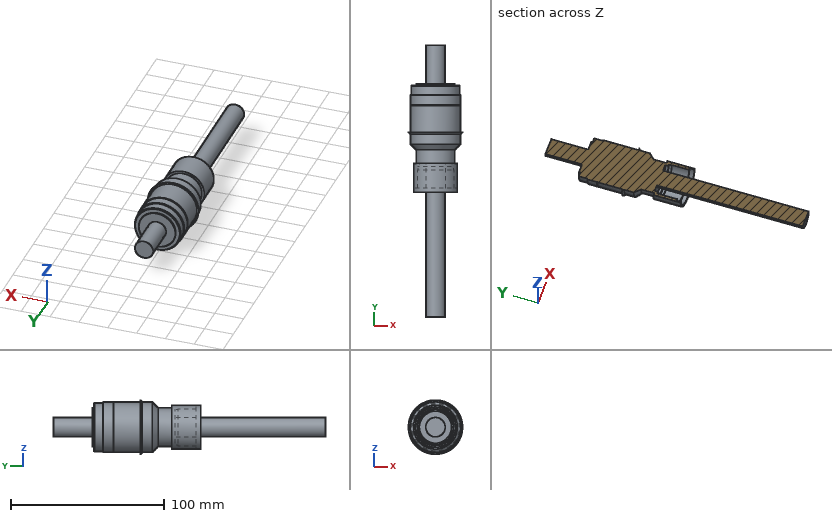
import cadquery as cq

ROD_LENGTH = 177.8
ROD_RADIUS = 12.7 / 2

COLLAR_START = 25.4
COLLAR_RADIUS = 12.7
CAP_START = 26.3
CAP_RADIUS = 15.95
CAP_CHAMFER = 0.55
BAND_START = 32.3
BAND_CHAMFER = 0.4

BODY_RADIUS = 16.5
GROOVE_START = 39.0
GROOVE_WIDTH = 0.5
GROOVE_DEPTH = 0.25
FLANGE_START = 56.8
FLANGE_RADIUS = 35.5 / 2
FLANGE_RIM = 0.1

SHOULDER_START = 64.7
NECK_RADIUS = COLLAR_RADIUS
SHOULDER_END = SHOULDER_START + (BODY_RADIUS - NECK_RADIUS)

SLEEVE_START = 77.3
SLEEVE_END = 96.3
SLEEVE_RADIUS = 14.35
MOUTH_RADIUS = 13.2
MOUTH_DEPTH = 3.2
BORE_RADIUS = 12.0
BORE_DEPTH = 15.0
SEAT_RADIUS = 11.6
SEAT_DEPTH = 17.0
INNER_BORE_RADIUS = 10.5
INNER_BORE_DEPTH = 19.0


def revolve_about_y(points):
    """Turn a closed (radius, station) outline about the Y axis; the rod is centred on the origin."""
    outline = [(radius, ROD_LENGTH / 2 - station) for radius, station in points]
    return cq.Workplane("XY").polyline(outline).close().revolve(360, (0, 0, 0), (0, 1, 0))


def cylinder(radius, start, end):
    return revolve_about_y([(0, start), (radius, start), (radius, end), (0, end)])


def make_shell():
    """Solid outside of the connector, from the rear collar to the sleeve mouth."""
    flange_taper = FLANGE_RADIUS - BODY_RADIUS
    groove_radius = BODY_RADIUS - GROOVE_DEPTH
    groove_end = GROOVE_START + GROOVE_WIDTH
    rim_end = FLANGE_START + FLANGE_RIM
    return revolve_about_y([
        (0, COLLAR_START),
        (COLLAR_RADIUS, COLLAR_START),
        (COLLAR_RADIUS, CAP_START),
        (CAP_RADIUS - CAP_CHAMFER, CAP_START),
        (CAP_RADIUS, CAP_START + CAP_CHAMFER),
        (CAP_RADIUS, BAND_START),
        (BODY_RADIUS - BAND_CHAMFER, BAND_START),
        (BODY_RADIUS, BAND_START + BAND_CHAMFER),
        (BODY_RADIUS, GROOVE_START),
        (groove_radius, GROOVE_START),
        (groove_radius, groove_end),
        (BODY_RADIUS, groove_end),
        (BODY_RADIUS, FLANGE_START),
        (FLANGE_RADIUS, FLANGE_START),
        (FLANGE_RADIUS, rim_end),
        (BODY_RADIUS, rim_end + flange_taper),
        (BODY_RADIUS, SHOULDER_START),
        (NECK_RADIUS, SHOULDER_END),
        (NECK_RADIUS, SLEEVE_START),
        (SLEEVE_RADIUS, SLEEVE_START),
        (SLEEVE_RADIUS, SLEEVE_END),
        (0, SLEEVE_END),
    ])


def make_socket():
    """Stepped cavity that opens at the front of the sleeve."""
    steps = [
        (MOUTH_RADIUS, MOUTH_DEPTH),
        (BORE_RADIUS, BORE_DEPTH),
        (SEAT_RADIUS, SEAT_DEPTH),
        (INNER_BORE_RADIUS, INNER_BORE_DEPTH),
    ]
    cavity = None
    for radius, depth in steps:
        step = cylinder(radius, SLEEVE_END - depth, SLEEVE_END)
        cavity = step if cavity is None else cavity.union(step)
    return cavity


rod = cylinder(ROD_RADIUS, 0, ROD_LENGTH)
result = make_shell().cut(make_socket()).union(rod)